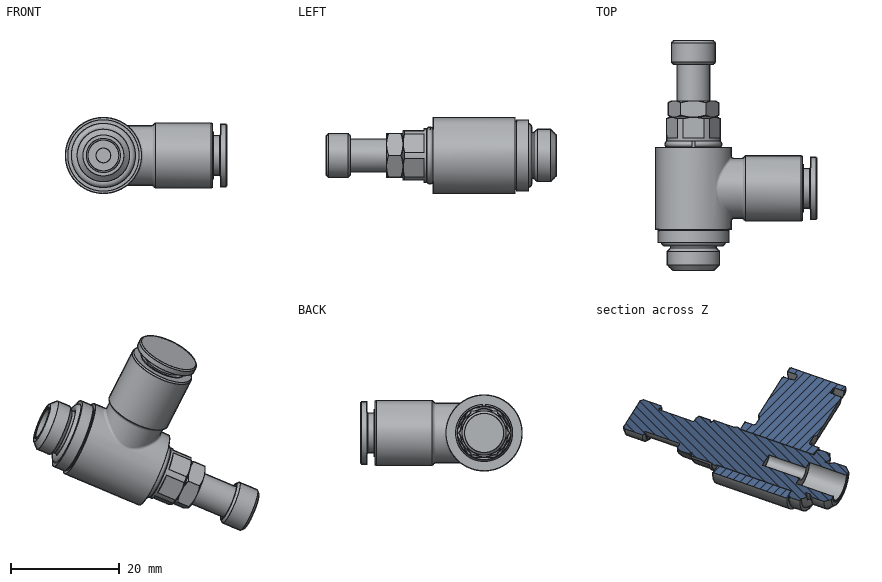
import cadquery as cq
import math


OVERALL_LENGTH = 42.25
OVERALL_WIDTH = 29.7

BARREL_DIAMETER = 14.0
BARREL_RADIUS = BARREL_DIAMETER / 2
BARREL_HALF_LENGTH = 7.5
BRANCH_ROOT_FILLET = 0.42

BRANCH_NECK_RADIUS = 5.5
BRANCH_NECK_END = 8.83
BRANCH_STEP_ARC = 0.5
SLEEVE_RADIUS = 6.0
SLEEVE_CHAMFER_START = 19.73
SLEEVE_CHAMFER_DEPTH = 0.15
SLEEVE_END = 20.05
LIP_RADIUS = 4.35
LIP_END = 20.2

RING_NECK_RADIUS = 3.67
RING_FLARE = 0.13
RING_FLARE_START = 21.3
RING_FLANGE_START = 21.5
RING_FLANGE_RADIUS = 5.75
RING_FLANGE_CHAMFER = 0.25
RING_END = OVERALL_WIDTH - BARREL_RADIUS

SHANK_RADIUS = 4.85

SPACER_RADIUS = 6.3
COLLAR_RADIUS = 6.55
COLLAR_TOP = -7.77
COLLAR_BOTTOM = -9.95
SEAL_CENTRE_RADIUS = 5.05
SEAL_SECTION_RADIUS = 0.85
SEAL_BOTTOM = -10.6
THREAD_RELIEF_END = -10.95
THREAD_RADIUS = 4.8
THREAD_CHAMFER_TOP = 0.65
THREAD_CHAMFER_BOTTOM = 1.05
THREAD_END = -15.1

BORE_RADIUS = 2.85
BORE_END = -BARREL_HALF_LENGTH
BORE_MOUTH_RADIUS = 3.13
BORE_MOUTH_DEPTH = 0.1
SEAT_RADIUS = 1.35
SEAT_END = 0.0

BEAD_TOP = 8.7
BEAD_RADIUS = 5.25
BEAD_SLOT_WIDTH = 0.6

HEX_BOTTOM = 9.2
HEX_TOP = 13.1
HEX_FLATS = 9.1
HEX_CORNER_RADIUS = 4.95
HEX_TOP_RADIUS = 4.4

NUT_TOP = 16.05
NUT_FLATS = 8.05
NUT_END_RADIUS = 4.05

HALF_HEX_SECTOR = math.radians(30)
TRIM_ANGLE = math.radians(30)

STEM_RADIUS = 3.05
KNOB_RADIUS = 4.05
KNOB_CHAMFER = 0.45
KNOB_BOTTOM = 22.7
KNOB_TOP = THREAD_END + OVERALL_LENGTH
KNOB_RECESS_RADIUS = 3.35
KNOB_RECESS_DEPTH = 0.42


def cylinder_y(radius, start, end):
    """Solid cylinder on the Y axis between two Y positions."""
    return cq.Workplane("XZ", origin=(0, start, 0)).circle(radius).extrude(start - end)


def make_branch():
    """Branch and release ring, turned about the X axis from the barrel's axis outward."""
    arc_angle = math.radians(45)
    arc_middle = arc_angle / 2
    arc_end_x = BRANCH_NECK_END + BRANCH_STEP_ARC * math.sin(arc_angle)
    arc_end_radius = BRANCH_NECK_RADIUS + BRANCH_STEP_ARC * (1 - math.cos(arc_angle))
    arc_middle_point = (
        BRANCH_NECK_END + BRANCH_STEP_ARC * math.sin(arc_middle),
        BRANCH_NECK_RADIUS + BRANCH_STEP_ARC * (1 - math.cos(arc_middle)),
    )
    sleeve_start = arc_end_x + SLEEVE_RADIUS - arc_end_radius
    return (
        cq.Workplane("XY")
        .moveTo(0, 0)
        .lineTo(0, BRANCH_NECK_RADIUS)
        .lineTo(BRANCH_NECK_END, BRANCH_NECK_RADIUS)
        .threePointArc(arc_middle_point, (arc_end_x, arc_end_radius))
        .lineTo(sleeve_start, SLEEVE_RADIUS)
        .lineTo(SLEEVE_CHAMFER_START, SLEEVE_RADIUS)
        .lineTo(SLEEVE_END, SLEEVE_RADIUS - SLEEVE_CHAMFER_DEPTH)
        .lineTo(SLEEVE_END, LIP_RADIUS)
        .lineTo(LIP_END, LIP_RADIUS)
        .lineTo(LIP_END, RING_NECK_RADIUS)
        .lineTo(RING_FLARE_START, RING_NECK_RADIUS)
        .lineTo(RING_FLANGE_START, RING_NECK_RADIUS + RING_FLARE)
        .lineTo(RING_FLANGE_START, RING_FLANGE_RADIUS)
        .lineTo(RING_END - RING_FLANGE_CHAMFER, RING_FLANGE_RADIUS)
        .lineTo(RING_END, RING_FLANGE_RADIUS - RING_FLANGE_CHAMFER)
        .lineTo(RING_END, 0)
        .close()
        .revolve(360, (0, 0, 0), (1, 0, 0))
    )


def make_elbow():
    """Barrel and branch with a filleted joint, bored through for the screw."""
    barrel = cylinder_y(BARREL_RADIUS, -BARREL_HALF_LENGTH, BARREL_HALF_LENGTH)
    joint_edge = cq.selectors.BoxSelector(
        (0, -SLEEVE_RADIUS, -SLEEVE_RADIUS),
        (BRANCH_NECK_END, SLEEVE_RADIUS, SLEEVE_RADIUS),
    )
    elbow = barrel.union(make_branch()).edges(joint_edge).fillet(BRANCH_ROOT_FILLET)
    return elbow.cut(cylinder_y(SHANK_RADIUS, -BARREL_HALF_LENGTH, BARREL_HALF_LENGTH))


def make_lower_screw():
    """Shank, collar, round seal and thread, turned about the Y axis."""
    seal_centre_y = SEAL_BOTTOM + SEAL_SECTION_RADIUS
    seal_outer_reach = math.sqrt(SEAL_SECTION_RADIUS**2 - (seal_centre_y - COLLAR_BOTTOM) ** 2)
    relief_radius = SEAL_CENTRE_RADIUS - SEAL_SECTION_RADIUS
    return (
        cq.Workplane("XY")
        .moveTo(0, BARREL_HALF_LENGTH)
        .lineTo(SHANK_RADIUS, BARREL_HALF_LENGTH)
        .lineTo(SHANK_RADIUS, -BARREL_HALF_LENGTH)
        .lineTo(SPACER_RADIUS, -BARREL_HALF_LENGTH)
        .lineTo(SPACER_RADIUS, COLLAR_TOP)
        .lineTo(COLLAR_RADIUS, COLLAR_TOP)
        .lineTo(COLLAR_RADIUS, COLLAR_BOTTOM)
        .lineTo(SEAL_CENTRE_RADIUS + seal_outer_reach, COLLAR_BOTTOM)
        .threePointArc((SEAL_CENTRE_RADIUS, SEAL_BOTTOM), (relief_radius, seal_centre_y))
        .lineTo(relief_radius, THREAD_RELIEF_END)
        .lineTo(THREAD_RADIUS, THREAD_RELIEF_END - THREAD_CHAMFER_TOP)
        .lineTo(THREAD_RADIUS, THREAD_END + THREAD_CHAMFER_BOTTOM)
        .lineTo(THREAD_RADIUS - THREAD_CHAMFER_BOTTOM, THREAD_END)
        .lineTo(0, THREAD_END)
        .close()
        .revolve(360, (0, 0, 0), (0, 1, 0))
    )


def make_bead():
    """Round-section bead on top of the barrel, with a narrow slot down to the shank on the +Z side."""
    bead_height = BEAD_TOP - BARREL_HALF_LENGTH
    bead_middle = BARREL_HALF_LENGTH + bead_height / 2
    section_radius = bead_height / 2
    core = cylinder_y(SHANK_RADIUS, BARREL_HALF_LENGTH, BEAD_TOP)
    ring_radius = BEAD_RADIUS - section_radius
    ring = (
        cq.Workplane("XY")
        .center(ring_radius, bead_middle)
        .circle(section_radius)
        .revolve(360, (-ring_radius, 0, 0), (-ring_radius, 1, 0))
    )
    slot = (
        cq.Workplane("XY")
        .center(0, bead_middle)
        .rect(BEAD_SLOT_WIDTH, bead_height)
        .extrude(BEAD_RADIUS)
    )
    return ring.cut(slot).union(core)


def hexagon(flats, start, end):
    """Hexagonal prism along Y with two of its flats facing +Z and -Z."""
    corner_diameter = flats / math.cos(HALF_HEX_SECTOR)
    return cq.Workplane("XZ", origin=(0, start, 0)).polygon(6, corner_diameter).extrude(start - end)


def make_hexagon_head():
    """Hexagon whose corners are turned round, on a short round shoulder."""
    chamfer_height = (HEX_CORNER_RADIUS - HEX_TOP_RADIUS) * math.tan(TRIM_ANGLE)
    turned = (
        cq.Workplane("XY")
        .moveTo(0, BEAD_TOP)
        .lineTo(HEX_CORNER_RADIUS, BEAD_TOP)
        .lineTo(HEX_CORNER_RADIUS, HEX_TOP - chamfer_height)
        .lineTo(HEX_TOP_RADIUS, HEX_TOP)
        .lineTo(0, HEX_TOP)
        .close()
        .revolve(360, (0, 0, 0), (0, 1, 0))
    )
    shoulder = cylinder_y(HEX_CORNER_RADIUS, BEAD_TOP, HEX_BOTTOM)
    return turned.intersect(hexagon(HEX_FLATS, HEX_BOTTOM, HEX_TOP)).union(shoulder)


def make_lock_nut():
    """Hexagon with its corners trimmed by a cone at both ends."""
    corner_radius = NUT_FLATS / 2 / math.cos(HALF_HEX_SECTOR)
    chamfer_height = (corner_radius - NUT_END_RADIUS) * math.tan(TRIM_ANGLE)
    turned = (
        cq.Workplane("XY")
        .moveTo(0, HEX_TOP)
        .lineTo(NUT_END_RADIUS, HEX_TOP)
        .lineTo(corner_radius, HEX_TOP + chamfer_height)
        .lineTo(corner_radius, NUT_TOP - chamfer_height)
        .lineTo(NUT_END_RADIUS, NUT_TOP)
        .lineTo(0, NUT_TOP)
        .close()
        .revolve(360, (0, 0, 0), (0, 1, 0))
    )
    return turned.intersect(hexagon(NUT_FLATS, HEX_TOP, NUT_TOP))


def make_stem_and_knob():
    """Adjusting stem with its chamfered knob, recessed around the stem."""
    recess_end = KNOB_BOTTOM + KNOB_RECESS_DEPTH
    stem = cylinder_y(STEM_RADIUS, NUT_TOP, recess_end)
    knob = cylinder_y(KNOB_RADIUS, KNOB_BOTTOM, KNOB_TOP).edges().chamfer(KNOB_CHAMFER)
    recess = cylinder_y(KNOB_RECESS_RADIUS, KNOB_BOTTOM, recess_end)
    return knob.cut(recess).union(stem)


def make_screw():
    """All coaxial screw features in one piece, with the stepped blind bore from the thread end."""
    screw = (
        make_lower_screw()
        .union(make_bead())
        .union(make_hexagon_head())
        .union(make_lock_nut())
        .union(make_stem_and_knob())
    )
    return (
        screw.cut(cylinder_y(BORE_MOUTH_RADIUS, THREAD_END, THREAD_END + BORE_MOUTH_DEPTH))
        .cut(cylinder_y(BORE_RADIUS, THREAD_END, BORE_END))
        .cut(cylinder_y(SEAT_RADIUS, BORE_END, SEAT_END))
    )


elbow = make_elbow()
screw = make_screw()

result = cq.Compound.makeCompound([elbow.solids().val(), screw.solids().val()])